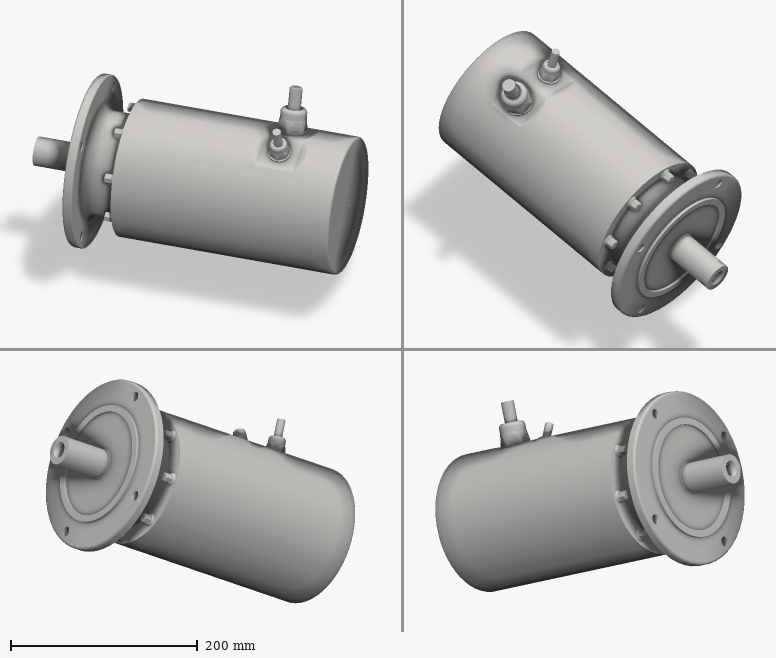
import cadquery as cq
import math

HEX_SIDES = 6

SHAFT_DIA = 32.0
SHOULDER_DIA = 35.0
SHOULDER_HEIGHT = 1.0
SHOULDER_CHAMFER = 0.7

MOUTH_DIA = 18.0
MOUTH_DEPTH = 5.0
COUNTERBORE_DIA = 13.0
COUNTERBORE_DEPTH = 6.3
DRILL_DIA = 10.5
DRILL_DEPTH = 24.5
DRILL_POINT_DEPTH = 3.0

SPIGOT_X = 54.0
SPIGOT_DIA = 130.0
SPIGOT_RECESS_DIA = 115.0
SPIGOT_RECESS_DEPTH = 2.8
FLANGE_FRONT_X = 57.0
FLANGE_BACK_X = 68.0
FLANGE_DIA = 189.0
FLANGE_FRONT_FILLET = 2.8
FLANGE_BACK_CHAMFER = 0.7
FLANGE_HOLE_DIA = 11.0
FLANGE_HOLE_OFFSET = 58.5

NECK_DIA = 114.0
NECK_FILLET = 9.0
RIM_DIA = 115.0
RIM_X = 104.5

BARREL_FRONT_X = 105.7
BARREL_BACK_X = 349.0
BARREL_DIA = 150.0
BARREL_FILLET = 2.8
REAR_BUMP_DIA = 1.5
REAR_BUMP_X = 350.0

BOLT_COUNT = 8
BOLT_CIRCLE_RADIUS = 65.5
BOLT_HEAD_X = 95.2
BOLT_COLLAR_X = 103.2
BOLT_HEX_DIA = 11.0
BOLT_CHAMFER = 0.7
BOLT_COLLAR_DIA = 14.5

GLAND_X = 279.0
GLAND_ANGLE = 18.0
FLAT_RADIUS = 72.0
FLAT_LENGTH = 42.5
FLAT_END_RUN = 7.7
CUT_WIDTH = 70.0

GLAND_LEDGE = 2.0
GLAND_MOUTH_DEPTH = 1.8
TAPER_SHARE = 0.6


def revolve_about_x(points):
    """Solid of revolution about the X axis from (x, radius) points."""
    profile = cq.Workplane("XY").polyline(points).close()
    return profile.revolve(360, (0, 0, 0), (1, 0, 0))


def cylinder_along_x(x_start, x_end, diameter):
    return cq.Workplane("YZ", origin=(x_start, 0, 0)).circle(diameter / 2).extrude(x_end - x_start)


def make_flange_and_neck():
    """Mounting flange with a recessed spigot, and the filleted neck behind it."""
    flange_r = FLANGE_DIA / 2
    neck_r = NECK_DIA / 2
    profile = (
        cq.Workplane("XY")
        .moveTo(SPIGOT_X, 0)
        .lineTo(SPIGOT_X, SPIGOT_DIA / 2)
        .lineTo(FLANGE_FRONT_X, SPIGOT_DIA / 2)
        .lineTo(FLANGE_FRONT_X, flange_r - FLANGE_FRONT_FILLET)
        .radiusArc((FLANGE_FRONT_X + FLANGE_FRONT_FILLET, flange_r), FLANGE_FRONT_FILLET)
        .lineTo(FLANGE_BACK_X - FLANGE_BACK_CHAMFER, flange_r)
        .lineTo(FLANGE_BACK_X, flange_r - FLANGE_BACK_CHAMFER)
        .lineTo(FLANGE_BACK_X, neck_r + NECK_FILLET)
        .radiusArc((FLANGE_BACK_X + NECK_FILLET, neck_r), -NECK_FILLET)
        .lineTo(BARREL_FRONT_X, neck_r)
        .lineTo(BARREL_FRONT_X, 0)
        .close()
    )
    flange = profile.revolve(360, (0, 0, 0), (1, 0, 0))
    recess = cylinder_along_x(SPIGOT_X, SPIGOT_X + SPIGOT_RECESS_DEPTH, SPIGOT_RECESS_DIA)
    hole_spacing = 2 * FLANGE_HOLE_OFFSET
    holes = (
        cq.Workplane("YZ", origin=(FLANGE_FRONT_X, 0, 0))
        .rect(hole_spacing, hole_spacing, forConstruction=True)
        .vertices()
        .circle(FLANGE_HOLE_DIA / 2)
        .extrude(FLANGE_BACK_X - FLANGE_FRONT_X)
    )
    rim = cylinder_along_x(RIM_X, BARREL_FRONT_X, RIM_DIA)
    return flange.cut(recess).cut(holes).union(rim)


def make_shaft():
    """Shaft with a chamfered shoulder at its root and a stepped centre hole in its tip."""
    bore = revolve_about_x([
        (0, 0),
        (0, MOUTH_DIA / 2),
        (MOUTH_DEPTH, COUNTERBORE_DIA / 2),
        (COUNTERBORE_DEPTH, COUNTERBORE_DIA / 2),
        (COUNTERBORE_DEPTH, DRILL_DIA / 2),
        (DRILL_DEPTH, DRILL_DIA / 2),
        (DRILL_DEPTH + DRILL_POINT_DEPTH, 0),
    ])
    recess_floor_x = SPIGOT_X + SPIGOT_RECESS_DEPTH
    shoulder = cylinder_along_x(recess_floor_x - SHOULDER_HEIGHT, FLANGE_BACK_X, SHOULDER_DIA)
    shoulder = shoulder.faces("<X").chamfer(SHOULDER_CHAMFER)
    return cylinder_along_x(0, FLANGE_BACK_X, SHAFT_DIA).union(shoulder).cut(bore)


def gland_plane(angle):
    """Plane on a flat: its Z axis points away from the motor axis, tilted toward +Y by `angle`."""
    tilt = math.radians(angle)
    outward = (0, math.sin(tilt), math.cos(tilt))
    origin = (GLAND_X, FLAT_RADIUS * outward[1], FLAT_RADIUS * outward[2])
    return cq.Plane(origin=origin, xDir=(1, 0, 0), normal=outward)


def make_flat_cut(angle):
    """Trough with a flat floor and sloped ends, cut into the barrel under a gland."""
    depth = BARREL_DIA / 2 - FLAT_RADIUS
    half = FLAT_LENGTH / 2
    top_half = half + FLAT_END_RUN
    trough = (
        cq.Workplane("XZ")
        .polyline([(-half, 0), (half, 0), (top_half, depth), (-top_half, depth)])
        .close()
        .extrude(CUT_WIDTH / 2, both=True)
    )
    return cq.Workplane(trough.val().moved(gland_plane(angle).location))


def make_barrel():
    """Motor barrel with a rounded rear edge, two gland flats and a small rear centre bump."""
    barrel = cylinder_along_x(BARREL_FRONT_X, BARREL_BACK_X, BARREL_DIA)
    barrel = barrel.faces(">X").fillet(BARREL_FILLET)
    for angle in (GLAND_ANGLE, -GLAND_ANGLE):
        barrel = barrel.cut(make_flat_cut(angle))
    return barrel.union(cylinder_along_x(BARREL_BACK_X, REAR_BUMP_X, REAR_BUMP_DIA))


def make_bolt(index):
    """Bolt head on a conical collar, with two hex corners pointing along Z."""
    angle = (index + 0.5) * 2 * math.pi / BOLT_COUNT
    head = (
        cq.Workplane("YZ", origin=(BOLT_HEAD_X, 0, 0))
        .polygon(HEX_SIDES, BOLT_HEX_DIA)
        .extrude(BARREL_FRONT_X - BOLT_HEAD_X)
        .rotate((0, 0, 0), (1, 0, 0), 90)
        .faces("<X")
        .chamfer(BOLT_CHAMFER)
    )
    collar = revolve_about_x([
        (BOLT_COLLAR_X, 0),
        (BOLT_COLLAR_X, BOLT_HEX_DIA / 2),
        (BARREL_FRONT_X, BOLT_COLLAR_DIA / 2),
        (BARREL_FRONT_X, 0),
    ])
    y = BOLT_CIRCLE_RADIUS * math.cos(angle)
    z = BOLT_CIRCLE_RADIUS * math.sin(angle)
    return head.union(collar).translate((0, y, z))


def make_motor():
    motor = make_barrel().union(make_flange_and_neck()).union(make_shaft())
    for index in range(BOLT_COUNT):
        motor = motor.union(make_bolt(index))
    return motor


def make_gland(angle, base_dia, cap_dia, nut_height, flats_width, mouth_dia, cable_dia, cable_end_radius):
    """Tapered nut with a rounded cap and hex flats, and the cable that leaves it."""
    base_r = base_dia / 2
    cap_r = cap_dia / 2
    rounding = cap_r - mouth_dia / 2
    nut = (
        cq.Workplane("XZ")
        .moveTo(0, 0)
        .lineTo(base_r, 0)
        .lineTo(base_r, GLAND_LEDGE)
        .lineTo(cap_r, TAPER_SHARE * nut_height)
        .lineTo(cap_r, nut_height - rounding)
        .radiusArc((cap_r - rounding, nut_height), -rounding)
        .lineTo(0, nut_height)
        .close()
        .revolve(360, (0, 0, 0), (0, 1, 0))
    )
    flats = (
        cq.Workplane("XY", origin=(0, 0, GLAND_LEDGE))
        .circle(base_dia)
        .polygon(HEX_SIDES, flats_width / math.cos(math.pi / HEX_SIDES))
        .extrude(nut_height - GLAND_LEDGE)
        .rotate((0, 0, 0), (0, 0, 1), 180 / HEX_SIDES)
    )
    mouth = (
        cq.Workplane("XY", origin=(0, 0, nut_height - GLAND_MOUTH_DEPTH))
        .circle(mouth_dia / 2)
        .extrude(GLAND_MOUTH_DEPTH)
    )
    cable = cq.Workplane("XY").circle(cable_dia / 2).extrude(cable_end_radius - FLAT_RADIUS)
    gland = nut.cut(flats).cut(mouth).union(cable)
    return cq.Workplane(gland.val().moved(gland_plane(angle).location))


motor = make_motor()
power_gland = make_gland(
    angle=GLAND_ANGLE,
    base_dia=33.2,
    cap_dia=28.7,
    nut_height=26.2,
    flats_width=29.0,
    mouth_dia=19.5,
    cable_dia=14.0,
    cable_end_radius=121.0,
)
signal_gland = make_gland(
    angle=-GLAND_ANGLE,
    base_dia=23.8,
    cap_dia=19.0,
    nut_height=19.0,
    flats_width=19.2,
    mouth_dia=12.0,
    cable_dia=9.0,
    cable_end_radius=110.2,
)

result = cq.Compound.makeCompound([motor.val(), power_gland.val(), signal_gland.val()])